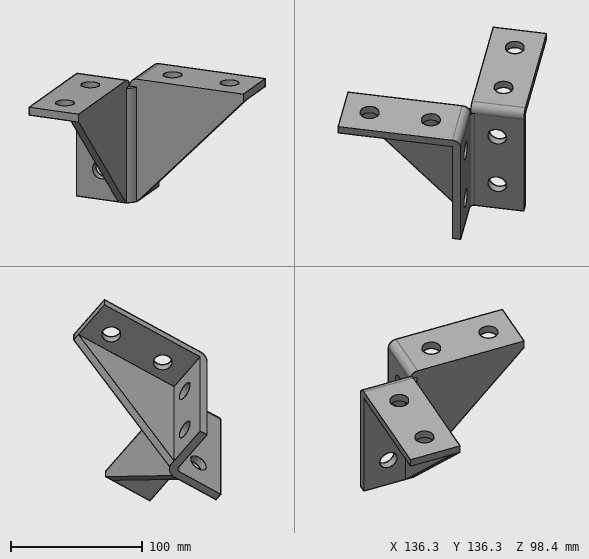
import cadquery as cq
import math

length = 136.3
height = 98.4
arm_width = 41.3
thickness = 6.4
inner_bend_radius = 3.1
hole_diameter = 14.3
hole_spacing = 47.5
flange_hole_margin = 20.6
lower_hole_height = 23.8

corner_x = arm_width
corner_y = length - arm_width
flange_underside = height - thickness
outer_bend_radius = inner_bend_radius + thickness
through_length = 2 * thickness


def make_arm():
    """Wall on the YZ plane at corner_x with its flange, gusset and holes."""
    wall = cq.Workplane("XY").box(thickness, arm_width, height, centered=False)
    flange = cq.Workplane("XY").box(length - corner_x, arm_width, thickness, centered=False)
    flange = flange.translate((0, 0, flange_underside))
    arm = wall.union(flange).edges("<X and >Z").fillet(thickness)

    gusset = (
        cq.Workplane("XZ")
        .moveTo(thickness, 0)
        .lineTo(length - corner_x, flange_underside)
        .lineTo(thickness, flange_underside)
        .close()
        .extrude(-thickness)
    )
    arm = arm.union(gusset)

    middle = arm_width / 2
    for step in range(2):
        flange_hole_x = length - corner_x - flange_hole_margin - step * hole_spacing
        wall_hole_z = lower_hole_height + step * hole_spacing
        flange_hole = (
            cq.Workplane("XY", origin=(flange_hole_x, middle, flange_underside - thickness / 2))
            .circle(hole_diameter / 2)
            .extrude(through_length)
        )
        wall_hole = (
            cq.Workplane("YZ", origin=(-thickness / 2, middle, wall_hole_z))
            .circle(hole_diameter / 2)
            .extrude(through_length)
        )
        arm = arm.cut(flange_hole).cut(wall_hole)
    return arm.translate((corner_x, corner_y, 0))


def make_wall_bend():
    """Quarter-round vertical bend joining the two walls below the flanges."""
    center_x = corner_x - inner_bend_radius
    center_y = corner_y + inner_bend_radius
    diagonal = math.sqrt(0.5)

    def arc_middle(radius):
        return center_x + radius * diagonal, center_y - radius * diagonal

    return (
        cq.Workplane("XY")
        .moveTo(center_x, center_y - outer_bend_radius)
        .threePointArc(arc_middle(outer_bend_radius), (center_x + outer_bend_radius, center_y))
        .lineTo(corner_x, center_y)
        .threePointArc(arc_middle(inner_bend_radius), (center_x, corner_y))
        .close()
        .extrude(flange_underside)
    )


first_arm = make_arm()
corner = (corner_x, corner_y, 0)
second_arm = first_arm.mirror("YZ", corner).rotate(corner, (corner_x, corner_y, 1), 90)
result = first_arm.union(second_arm).union(make_wall_bend())